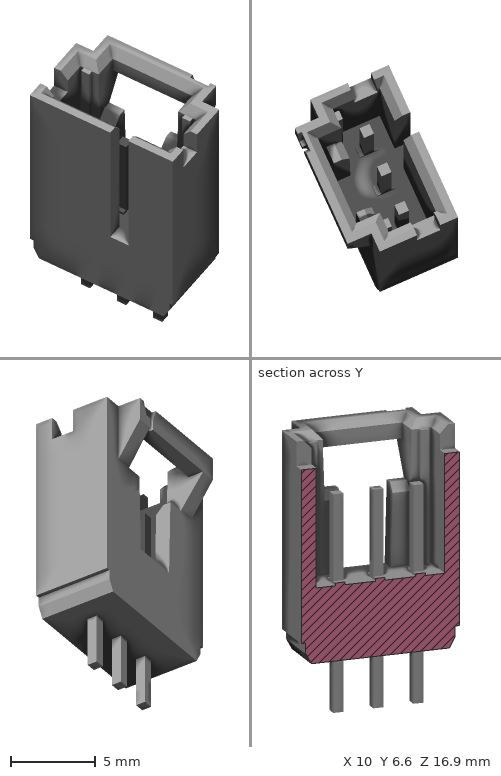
import cadquery as cq

height = 16.89
base_z = 3.3
floor_z = 7.97
window_sill_z = 13.1
hood_bottom_z = 15.37

body_width = 10.03
body_depth = 5.07
hood_width = 7.63
total_depth = 6.6

lead_in = 0.5
lead_in_height = 0.54
lead_in_z = height - lead_in_height
cavity_width = 8.1
cavity_front = 1.01
cavity_back = 4.05
hood_cavity_width = 5.57
hood_cavity_back = 5.57

window_floor_width = 2.97
window_sill_width = 3.25
window_upper_sill_width = 5.4

front_slot_center = 1.27
front_slot_width = 1.27
side_notch_front = 1.15
side_notch_back = 2.65

step_z = 4.61
bevel_z = 3.97
step_inset = 0.27
foot_inset = 0.65

rib_inner_x = 3.26
rib_outer_x = hood_width / 2
rib_thickness = 0.3

mark_depth = 0.27
mark_left = 2.16
mark_right = 3.43
mark_slope = 0.3
mark_gap = 0.29
mark_ledge_z = 16.05

pin_pitch = 2.53
pin_count = 3
pin_size = 0.65
pin_y = body_depth / 2
pin_top_z = 13.51
shoulder_depth = 1.2
shoulder_height = 0.17


def box(x_min, x_max, y_min, y_max, z_min, z_max):
    """Axis-aligned block between the given limits."""
    size = (x_max - x_min, y_max - y_min, z_max - z_min)
    return cq.Workplane("XY").box(*size, centered=False).translate((x_min, y_min, z_min))


def centered_box(width, y_min, y_max, z_min, z_max):
    """Block symmetric about the YZ plane."""
    return box(-width / 2, width / 2, y_min, y_max, z_min, z_max)


def xz_prism(points, y_min, y_max):
    """Profile in the XZ plane, extruded from y_min to y_max."""
    workplane = cq.Workplane("XZ", origin=(0, y_max, 0))
    return workplane.polyline(points).close().extrude(y_max - y_min)


def mirrored_profile(right_side):
    """Close a right-hand chain of points with its mirror image."""
    return right_side + [(-x, z) for x, z in reversed(right_side)]


def make_shell():
    """Solid housing with its stepped foot and the overhanging hood."""
    half = body_width / 2
    body = xz_prism(
        mirrored_profile([
            (half - foot_inset, base_z),
            (half - step_inset, bevel_z),
            (half - step_inset, step_z),
            (half, step_z),
            (half, height),
        ]),
        0, body_depth,
    )
    hood = (
        cq.Workplane("YZ", origin=(-hood_width / 2, 0, 0))
        .moveTo(cavity_back, window_sill_z)
        .lineTo(body_depth, window_sill_z)
        .lineTo(total_depth, hood_bottom_z)
        .lineTo(total_depth, height)
        .lineTo(cavity_back, height)
        .close()
        .extrude(hood_width)
    )
    return body.union(hood)


def cavity_outline(z, growth):
    """T-shaped mouth outline at height z, offset outward by growth."""
    wide = cavity_width / 2 + growth
    narrow = hood_cavity_width / 2 + growth
    right_side = [
        (wide, cavity_front - growth),
        (wide, cavity_back + growth),
        (narrow, cavity_back + growth),
        (narrow, hood_cavity_back + growth),
    ]
    return cq.Workplane("XY", origin=(0, 0, z)).polyline(mirrored_profile(right_side)).close()


def make_lead_in():
    """Bevelled mouth: the cavity outline grows toward the top."""
    lower = cavity_outline(lead_in_z, 0).wires().val()
    upper = cavity_outline(height, lead_in).wires().val()
    return cq.Workplane(cq.Solid.makeLoft([lower, upper], True))


def make_cavity():
    """Mating cavity, hood passage and the drafted window in the back wall."""
    main = centered_box(cavity_width, cavity_front, cavity_back, floor_z, lead_in_z)
    hood_passage = centered_box(
        hood_cavity_width, cavity_back, hood_cavity_back, hood_bottom_z, lead_in_z)
    lower_window = xz_prism(
        mirrored_profile([(window_floor_width / 2, floor_z), (window_sill_width / 2, window_sill_z)]),
        cavity_back, total_depth,
    )
    upper_window = xz_prism(
        mirrored_profile([
            (window_upper_sill_width / 2, window_sill_z),
            (hood_cavity_width / 2, hood_bottom_z),
        ]),
        cavity_back, total_depth,
    )
    sill_bevel = (
        cq.Workplane("YZ", origin=(-window_upper_sill_width / 2, 0, 0))
        .moveTo(cavity_back, window_sill_z - lead_in_height)
        .lineTo(cavity_back + lead_in, window_sill_z)
        .lineTo(cavity_back, window_sill_z)
        .close()
        .extrude(window_upper_sill_width)
    )
    cavity = main.union(hood_passage).union(lower_window).union(upper_window)
    return cavity.union(sill_bevel).union(make_lead_in())


def make_wall_openings():
    """Keying slot in the front wall and a notch across both side walls."""
    slot_left = front_slot_center - front_slot_width / 2
    slot_right = slot_left + front_slot_width
    slot = box(slot_left, slot_right, 0, cavity_front, floor_z, height)
    notch = centered_box(body_width, side_notch_front, side_notch_back, hood_bottom_z, height)
    return slot.union(notch)


def make_marker():
    """Marker notch in the hood's back face, with one ledge and a gap through the bottom."""
    gap_left = mark_left + mark_slope
    gap_right = gap_left + mark_gap
    points = [
        (mark_left, height),
        (gap_left, mark_ledge_z),
        (gap_left, hood_bottom_z),
        (gap_right, hood_bottom_z),
        (gap_right, mark_ledge_z),
        (mark_right - mark_slope, mark_ledge_z),
        (mark_right, height),
    ]
    return xz_prism(points, total_depth - mark_depth, total_depth)


def make_ribs():
    """Pair of vertical ribs on the inner back wall."""
    right = box(rib_inner_x, rib_outer_x, cavity_back - rib_thickness, cavity_back, floor_z, lead_in_z)
    return right.union(right.mirror("YZ"))


def make_pin(x):
    """Square pin with a wider shoulder standing on the cavity floor."""
    pin = box(
        x - pin_size / 2, x + pin_size / 2,
        pin_y - pin_size / 2, pin_y + pin_size / 2,
        0, pin_top_z,
    )
    shoulder = box(
        x - pin_size / 2, x + pin_size / 2,
        pin_y - shoulder_depth / 2, pin_y + shoulder_depth / 2,
        floor_z, floor_z + shoulder_height,
    )
    return pin.union(shoulder)


result = make_shell().cut(make_cavity()).cut(make_wall_openings()).cut(make_marker())
result = result.union(make_ribs())
first_pin_x = -(pin_count - 1) * pin_pitch / 2
for index in range(pin_count):
    result = result.union(make_pin(first_pin_x + index * pin_pitch))